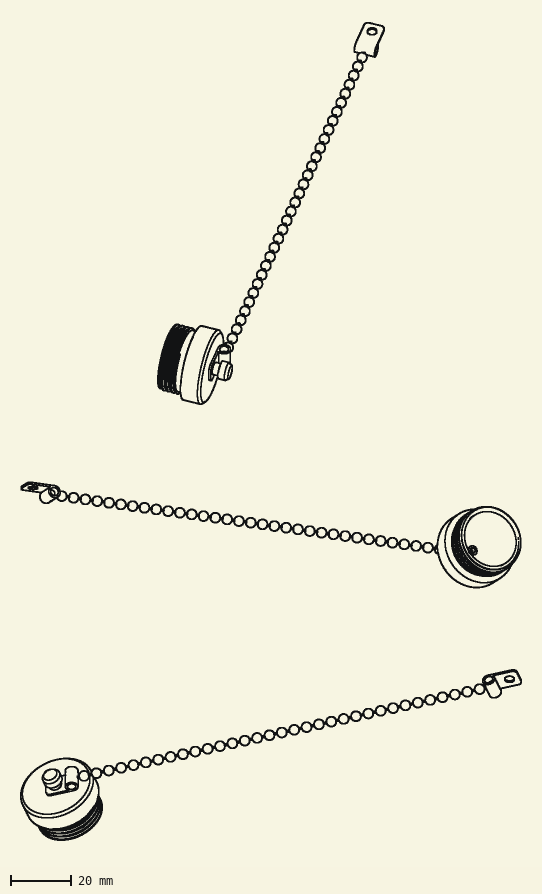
import cadquery as cq

neck_radius = 10.5
thread_crest_radius = 11.2
thread_length = 6.0
thread_pitch = 1.6
thread_base_width = 1.2
thread_crest_width = 0.3
thread_sink = 0.2
thread_start_angle = 235.0
relief_radius = 10.1
relief_start = 7.9
flange_radius = 25.4 / 2
flange_start = 8.4
cap_length = 15.2
flange_chamfer = 0.9
bore_radius = 9.5
bore_depth = 13.8
bore_fillet = 1.0

tenon_radius = 1.5
rivet_hole_radius = 0.9
rivet_hole_depth = 1.7
shank_radius = 2.1
head_radius = 6.1 / 2
head_start = 18.2
head_chamfer = 0.7
head_chamfer_length = 1.0
rivet_end = 21.5

ball_count = 35
ball_radius = 1.66
wire_radius = 0.31
overall_length = 174.9
fitting_thickness = 0.7
fitting_width = 7.0
fitting_corner = 1.4
fitting_hole_radius = tenon_radius
curl_radius = 2.1
hole_to_curl = 6.1
hole_to_edge = 3.3

chain_x = cap_length + curl_radius
first_ball_y = hole_to_curl
last_ball_y = overall_length - flange_radius - hole_to_edge - hole_to_curl
ball_pitch = (last_ball_y - first_ball_y) / (ball_count - 1)


def x_cylinder(radius, start, end):
    """Cylinder on the X axis between two X positions."""
    return cq.Workplane("YZ").workplane(offset=start).circle(radius).extrude(end - start)


def make_thread():
    """Left-hand helical ridge around the neck, trimmed flat at both ends."""
    root_radius = neck_radius - thread_sink
    half_base = thread_base_width / 2
    half_crest = thread_crest_width / 2
    helix_height = thread_length + 2 * thread_pitch
    helix = cq.Wire.makeHelix(thread_pitch, helix_height, root_radius, lefthand=True)
    ridge = (
        cq.Workplane("XZ")
        .moveTo(root_radius, -half_base)
        .lineTo(thread_crest_radius, -half_crest)
        .lineTo(thread_crest_radius, half_crest)
        .lineTo(root_radius, half_base)
        .close()
        .sweep(cq.Workplane(obj=helix), isFrenet=True)
    )
    ridge = ridge.rotate((0, 0, 0), (0, 0, 1), thread_start_angle)
    ridge = ridge.rotate((0, 0, 0), (0, 1, 0), 90).translate((-thread_pitch, 0, 0))
    return ridge.intersect(x_cylinder(flange_radius, 0, thread_length))


def make_cap():
    """Threaded cup with a thread relief, a chamfered flange and a hole for the rivet."""
    neck = x_cylinder(neck_radius, 0, relief_start)
    relief = x_cylinder(relief_radius, relief_start, flange_start)
    flange = x_cylinder(flange_radius, flange_start, cap_length).faces(">X").chamfer(flange_chamfer)
    bore = x_cylinder(bore_radius, 0, bore_depth).faces(">X").edges().fillet(bore_fillet)
    rivet_hole = x_cylinder(tenon_radius, bore_depth, cap_length)
    return neck.union(relief).union(flange).union(make_thread()).cut(bore).cut(rivet_hole)


def make_rivet():
    """Stepped pin with a chamfered head and a cone-bottomed hole in its inner end."""
    shoulder = cap_length + fitting_thickness
    cone_end = bore_depth + rivet_hole_depth + rivet_hole_radius
    return (
        cq.Workplane("XY")
        .moveTo(bore_depth, rivet_hole_radius)
        .lineTo(bore_depth, tenon_radius)
        .lineTo(shoulder, tenon_radius)
        .lineTo(shoulder, shank_radius)
        .lineTo(head_start, shank_radius)
        .lineTo(head_start, head_radius)
        .lineTo(rivet_end - head_chamfer_length, head_radius)
        .lineTo(rivet_end, head_radius - head_chamfer)
        .lineTo(rivet_end, 0)
        .lineTo(cone_end, 0)
        .lineTo(cone_end - rivet_hole_radius, rivet_hole_radius)
        .close()
        .revolve(360, (0, 0, 0), (1, 0, 0))
    )


def make_fitting():
    """Plate along +Y with a hole, tangent to a curl on the X axis; the plate is on top."""
    plate_length = hole_to_curl + hole_to_edge
    curl = (
        cq.Workplane("YZ")
        .circle(curl_radius)
        .circle(curl_radius - fitting_thickness)
        .extrude(fitting_width / 2, both=True)
    )
    plate = (
        cq.Workplane("XY")
        .box(fitting_width, plate_length, fitting_thickness, centered=(True, False, False))
        .edges("|Z and >Y")
        .fillet(fitting_corner)
        .translate((0, 0, curl_radius - fitting_thickness))
    )
    hole = (
        cq.Workplane("XY")
        .center(0, hole_to_curl)
        .circle(fitting_hole_radius)
        .extrude(curl_radius)
    )
    return curl.union(plate.cut(hole))


def make_chain():
    """Balls, wire and both end fittings as one solid."""
    chain = (
        cq.Workplane("XZ", origin=(chain_x, first_ball_y, 0))
        .circle(wire_radius)
        .extrude(first_ball_y - last_ball_y)
    )
    for index in range(ball_count):
        ball_y = first_ball_y + index * ball_pitch
        chain = chain.union(cq.Workplane("XY").sphere(ball_radius).translate((chain_x, ball_y, 0)))
    outer_fitting = make_fitting().translate((chain_x, last_ball_y, 0))
    cap_fitting = (
        make_fitting()
        .rotate((0, 0, 0), (0, 0, 1), 180)
        .rotate((0, 0, 0), (0, 1, 0), -90)
        .translate((chain_x, first_ball_y, 0))
    )
    return chain.union(outer_fitting).union(cap_fitting)


cap = make_cap().solids()
rivet = make_rivet().solids()
chain = make_chain().solids()

result = cq.Compound.makeCompound([cap.val(), rivet.val(), chain.val()])